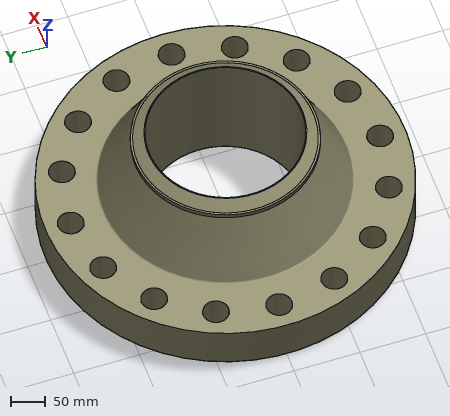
import cadquery as cq

flange_diameter = 546.0
flange_thickness = 69.5
raised_face_diameter = 361.5
raised_face_height = 8.0
overall_height = 192.0
bore_diameter = 230.5

hub_base_diameter = 368.0
hub_fillet_radius = 3.5
neck_diameter = 273.0
neck_height = 7.0

bevel_base_diameter = 266.5
bevel_height = 13.0
weld_land_width = 1.5

bolt_hole_count = 16
bolt_circle_diameter = 469.5
bolt_hole_diameter = 38.0

flange_radius = flange_diameter / 2
raised_face_radius = raised_face_diameter / 2
bore_radius = bore_diameter / 2
hub_base_radius = hub_base_diameter / 2
neck_radius = neck_diameter / 2

flange_top = raised_face_height + flange_thickness
bevel_bottom = overall_height - bevel_height
neck_bottom = bevel_bottom - neck_height


def revolved_body():
    """Solid of revolution with the bore left open through the middle."""
    profile = (
        cq.Workplane("XZ")
        .moveTo(bore_radius, 0)
        .lineTo(raised_face_radius, 0)
        .lineTo(raised_face_radius, raised_face_height)
        .lineTo(flange_radius, raised_face_height)
        .lineTo(flange_radius, flange_top)
        .lineTo(hub_base_radius, flange_top)
        .lineTo(neck_radius, neck_bottom)
        .lineTo(neck_radius, bevel_bottom)
        .lineTo(bevel_base_diameter / 2, bevel_bottom)
        .lineTo(bore_radius + weld_land_width, overall_height)
        .lineTo(bore_radius, overall_height)
        .close()
    )
    return profile.revolve(360, (0, 0, 0), (0, 1, 0))


def fillet_hub_base(body):
    """Round the inside corner where the hub meets the flange."""
    reach = (hub_base_radius + flange_radius) / 2
    half_height = flange_thickness / 4
    around_hub_base = cq.selectors.BoxSelector(
        (-reach, -reach, flange_top - half_height),
        (reach, reach, flange_top + half_height),
        boundingbox=True,
    )
    return body.edges(around_hub_base).fillet(hub_fillet_radius)


def bolt_holes():
    """Cutters for the ring of through holes."""
    return (
        cq.Workplane("XY")
        .polarArray(bolt_circle_diameter / 2, 0, 360, bolt_hole_count)
        .circle(bolt_hole_diameter / 2)
        .extrude(flange_top)
    )


result = fillet_hub_base(revolved_body()).cut(bolt_holes())